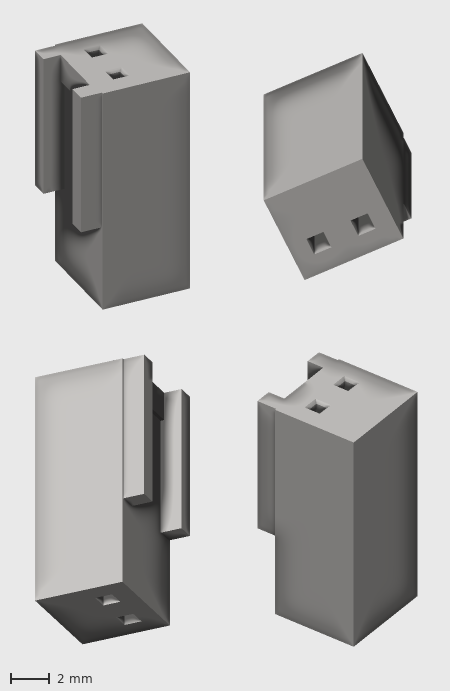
import cadquery as cq

body_width = 5.6
body_depth = 5.0
height = 12.85

rail_span = 5.4
rail_gap = 3.42
rail_projection = 1.2
rail_length = 8.0
rail_width = (rail_span - rail_gap) / 2

bar_projection = 0.2
bar_height = 1.57

pin_pitch = 2.5
pin_distance_from_back = 3.4
passage_size = 0.64
entry_size = 0.96
entry_depth = (entry_size - passage_size) / 2
cavity_size = entry_size
cavity_top_depth = 0.5
cavity_height = height - cavity_top_depth
pin_y = body_depth - pin_distance_from_back


def front_block(center_x, width, projection, length):
    """Block on the front face, hanging down from the top plane."""
    return (
        cq.Workplane("XY", origin=(center_x, 0, height - length))
        .box(width, projection, length, centered=(True, False, False))
        .translate((0, -projection, 0))
    )


def contact_passage(center_x):
    """Through passage with a tapered entry at the top and a wider cavity below."""
    passage = (
        cq.Workplane("XY", origin=(center_x, pin_y, 0))
        .rect(passage_size, passage_size)
        .extrude(height)
    )
    entry = (
        cq.Workplane("XY", origin=(center_x, pin_y, height))
        .rect(entry_size, entry_size)
        .workplane(offset=-entry_depth)
        .rect(passage_size, passage_size)
        .loft(ruled=True)
    )
    cavity = (
        cq.Workplane("XY", origin=(center_x, pin_y, 0))
        .rect(cavity_size, cavity_size)
        .extrude(cavity_height)
    )
    return passage.union(entry).union(cavity)


result = cq.Workplane("XY").box(body_width, body_depth, height, centered=(True, False, False))
result = result.union(front_block(0, rail_gap, bar_projection, bar_height))

for side in (-1, 1):
    rail_x = side * (rail_gap + rail_width) / 2
    result = result.union(front_block(rail_x, rail_width, rail_projection, rail_length))

for side in (-1, 1):
    result = result.cut(contact_passage(side * pin_pitch / 2))